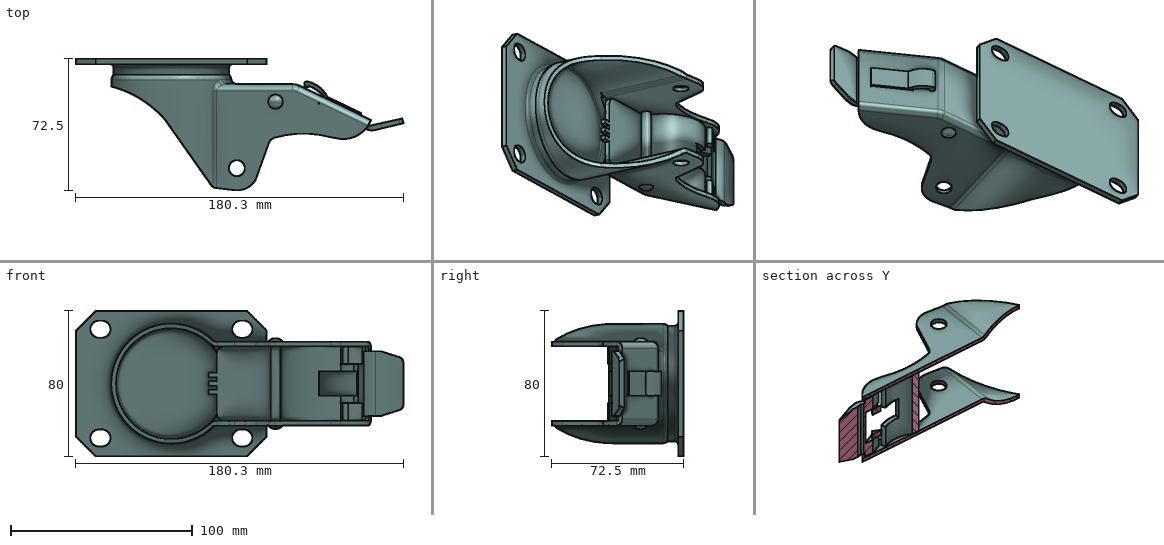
import cadquery as cq
import math


plate_length = 105.0
plate_width = 80.0
plate_thickness = 3.0
plate_corner = 10.8
slot_length = 11.0
slot_width = 9.2
slot_pitch_x = 78.0
slot_pitch_z = 59.9
neck_radius = 32.0
neck_end = -8.8
neck_fillet = 1.8

sheet = 2.5
crown_radius = 33.0
crown_shoulder = 2.7
crown_shoulder_mid = (32.6, -10.0)
crown_inner_radius = crown_radius - sheet
crown_floor = neck_end - sheet
crown_inner_fillet = 0.9
arm_half_width = 23.0
arm_inner_half_width = arm_half_width - sheet
web_top = -13.9
web_bend_x = 68.7
web_slope = math.radians(25.7)
web_bend_radius = 9.0
web_end_x = 110.0
web_edge_radius = 3.6
throat_fillet = 3.0
throat_inner_fillet = throat_fillet + sheet
fork_bottom = -72.5

overrun = 9.0
blank_bottom = fork_bottom - overrun

pick = 0.2

axle_x = 36.0
axle_radius = 4.3
hub_radius = 12.3
axle_y = fork_bottom + hub_radius

pin_x = 57.3
pin_y = -23.6
pin_radius = 2.7
pin_head_radius = 4.0
pin_head_height = 2.0

leaf_thickness = 2.7
leaf_half_width = arm_inner_half_width
leaf_top = -17.9
leaf_start_x = 24.9
leaf_corner = 4.3
tooth_length = 4.3
tooth_width = 2.3
tooth_pitch = 4.7
tooth_count = 3
shoe_x = 83.3
shoe_y = -18.0
shoe_radius = 23.3
shoe_end_angle = math.radians(-65)
shoe_window_x = 81.3

pedal_thickness = 2.7
pedal_end_x = 127.8
pedal_half_width = 17.9
pedal_tip_half_width = 13.9
pedal_taper_x = 115.4
pedal_corner = 3.6
ear_outer_z = 20.2
ear_inner_z = 10.8
ear_end_x = 105.1
tail_start_x = 106.0

latch_half_width = 6.7
latch_proud = 1.0
latch_depth = 5.4
latch_rail_width = 4.0
latch_rail_depth = 6.0
latch_start_x = 83.0
latch_end_x = 104.0
curl_x = 74.6
curl_y = -14.0
curl_radius = 1.6
latch_arm = 2.2


def web_height(x):
    """Y of the outer face of the sloping web at a given X."""
    return web_top - (x - web_bend_x) * math.tan(web_slope)


def below_slope(point, distance):
    """Move a point inwards, square to the sloping web."""
    x, y = point
    return (x - distance * math.sin(web_slope), y - distance * math.cos(web_slope))


def thicken(profile, half_width):
    """Extrude a closed XY outline equally to both sides of Z = 0."""
    return profile.close().extrude(half_width, both=True)


def make_plate():
    slots = (
        cq.Workplane("XZ")
        .rect(slot_pitch_x, slot_pitch_z, forConstruction=True)
        .vertices()
        .slot2D(slot_length, slot_width)
        .extrude(plate_thickness)
    )
    plate = (
        cq.Workplane("XZ")
        .rect(plate_length, plate_width)
        .extrude(plate_thickness)
        .edges("|Y")
        .chamfer(plate_corner)
        .cut(slots)
    )
    neck = cq.Workplane("XZ").circle(neck_radius).extrude(-neck_end)
    root_reach = neck_radius + pick
    root = cq.selectors.BoxSelector(
        (-root_reach, -plate_thickness - pick, -root_reach),
        (root_reach, -plate_thickness + pick, root_reach),
        boundingbox=True,
    )
    return plate.union(neck).edges(root).fillet(neck_fillet)


def channel(inset):
    """Bent block whose top follows the web, set in by a distance from the outer skin."""
    top = web_top - inset
    bend_x = web_bend_x - inset * math.tan(web_slope / 2)
    bend_radius = web_bend_radius - inset
    tangent = bend_radius * math.tan(web_slope / 2)
    far_x = web_end_x + overrun
    far_y = top - (far_x - bend_x) * math.tan(web_slope)
    profile = (
        cq.Workplane("XY")
        .moveTo(0, top)
        .lineTo(bend_x - tangent, top)
        .tangentArcPoint(
            (bend_x + tangent * math.cos(web_slope), top - tangent * math.sin(web_slope)),
            relative=False,
        )
        .lineTo(far_x, far_y)
        .lineTo(far_x, blank_bottom)
        .lineTo(0, blank_bottom)
    )
    block = thicken(profile, arm_half_width - inset)
    return block.faces(">Y").edges("|X").fillet(web_edge_radius - inset)


def crown_blank():
    """Solid drum of the crown and skirt, with its rounded shoulder."""
    return (
        cq.Workplane("XY")
        .moveTo(0, neck_end)
        .lineTo(neck_radius, neck_end)
        .threePointArc(crown_shoulder_mid, (crown_radius, neck_end - crown_shoulder))
        .lineTo(crown_radius, blank_bottom)
        .lineTo(0, blank_bottom)
        .close()
        .revolve(360, (0, 0), (0, 1))
    )


def throat_edges(radius, half_width):
    """Upright edges where the round skirt meets the straight arms."""
    x = math.sqrt(radius**2 - half_width**2)
    return cq.selectors.BoxSelector(
        (x - pick, blank_bottom - pick, -half_width - pick),
        (x + pick, web_top - web_edge_radius, half_width + pick),
    )


def throat_void():
    """Round opening that flares smoothly into the straight one, below the web bends."""
    top = web_top - web_edge_radius
    depth = top - blank_bottom
    drum = cq.Workplane("XZ", origin=(0, top, 0)).circle(crown_inner_radius).extrude(depth)
    straight = (
        cq.Workplane("XZ", origin=(axle_x / 2, top, 0))
        .rect(axle_x, 2 * arm_inner_half_width)
        .extrude(depth)
    )
    corners = throat_edges(crown_inner_radius, arm_inner_half_width)
    return drum.union(straight).edges(corners).fillet(throat_inner_fillet)


def side_outline():
    """Side shape of the fork: skirt sweep, axle lobe and brake arm."""
    lobe_in = math.radians(-97)
    lobe_out = math.radians(-33)
    lobe_mid = (lobe_in + lobe_out) / 2

    def lobe(angle):
        return (axle_x + hub_radius * math.cos(angle), axle_y + hub_radius * math.sin(angle))

    skirt_rim = (-crown_radius, -15.3)
    skirt_sweep_mid = (-16.0, -22.7)
    skirt_sweep_end = (-3.6, -33.4)
    skirt_tip = (21.8, -69.5)
    skirt_tip_mid = (23.0, -70.7)
    skirt_tip_end = (25.0, -71.2)
    crook_start = (53.5, -46.9)
    crook_mid = (54.8, -44.7)
    crook_end = (57.0, -43.5)
    arch_top = (74.5, -41.3)
    arch_end = (87.8, -43.3)
    nose_start = (92.9, -44.2)
    nose_mid = (101.9, -42.5)
    nose_end = (108.2, -37.0)
    clear_x = -crown_radius - overrun
    profile = (
        cq.Workplane("XY")
        .moveTo(clear_x, 0)
        .lineTo(clear_x, skirt_rim[1])
        .lineTo(*skirt_rim)
        .threePointArc(skirt_sweep_mid, skirt_sweep_end)
        .lineTo(*skirt_tip)
        .threePointArc(skirt_tip_mid, skirt_tip_end)
        .lineTo(*lobe(lobe_in))
        .threePointArc(lobe(lobe_mid), lobe(lobe_out))
        .lineTo(*crook_start)
        .threePointArc(crook_mid, crook_end)
        .threePointArc(arch_top, arch_end)
        .lineTo(*nose_start)
        .threePointArc(nose_mid, nose_end)
        .lineTo(web_end_x, web_height(web_end_x))
        .lineTo(web_end_x, 0)
    )
    return thicken(profile, crown_radius + overrun)


def make_fork():
    outer = crown_blank().union(channel(0))
    outer = outer.edges(throat_edges(crown_radius, arm_half_width)).fillet(throat_fillet)
    drum = (
        cq.Workplane("XZ", origin=(0, crown_floor, 0))
        .circle(crown_inner_radius)
        .extrude(crown_floor - blank_bottom)
        .faces(">Y")
        .edges()
        .fillet(crown_inner_fillet)
    )
    inner = drum.union(channel(sheet)).union(throat_void())
    axle_hole = (
        cq.Workplane("XY").center(axle_x, axle_y).circle(axle_radius).extrude(crown_radius, both=True)
    )
    pin_hole = (
        cq.Workplane("XY").center(pin_x, pin_y).circle(pin_radius).extrude(crown_radius, both=True)
    )
    fork = outer.intersect(side_outline()).cut(inner)
    return fork.cut(axle_hole).cut(pin_hole).cut(latch_slab())


def make_pin():
    """Rivet with a domed head against the outside of each arm."""
    head_end = arm_half_width + pin_head_height
    sphere_radius = (pin_head_radius**2 + pin_head_height**2) / (2 * pin_head_height)
    half_angle = math.asin(pin_head_radius / sphere_radius) / 2
    dome_x = sphere_radius * math.sin(half_angle)
    dome_z = head_end - sphere_radius * (1 - math.cos(half_angle))
    return (
        cq.Workplane("XZ", origin=(pin_x, pin_y, 0))
        .moveTo(0, -head_end)
        .threePointArc((dome_x, -dome_z), (pin_head_radius, -arm_half_width))
        .lineTo(pin_radius, -arm_half_width)
        .lineTo(pin_radius, arm_half_width)
        .lineTo(pin_head_radius, arm_half_width)
        .threePointArc((dome_x, dome_z), (0, head_end))
        .close()
        .revolve(360, (0, 0), (0, 1))
    )


def make_leaf():
    inner_radius = shoe_radius - leaf_thickness
    leaf_bottom = leaf_top - leaf_thickness

    def shoe_point(radius, angle):
        return (shoe_x + radius * math.cos(angle), shoe_y + radius * math.sin(angle))

    def shoe_left(radius, y):
        return shoe_x - math.sqrt(radius**2 - (y - shoe_y) ** 2)

    shoe_middle = math.radians(-120)
    profile = (
        cq.Workplane("XY")
        .moveTo(leaf_start_x, leaf_top)
        .lineTo(shoe_left(inner_radius, leaf_top), leaf_top)
        .threePointArc(shoe_point(inner_radius, shoe_middle), shoe_point(inner_radius, shoe_end_angle))
        .lineTo(*shoe_point(shoe_radius, shoe_end_angle))
        .threePointArc(
            shoe_point(shoe_radius, shoe_middle), (shoe_left(shoe_radius, leaf_bottom), leaf_bottom)
        )
        .lineTo(leaf_start_x, leaf_bottom)
    )
    leaf = thicken(profile, leaf_half_width).edges("|Y and <X").fillet(leaf_corner)
    window = cq.Workplane("XY").box(
        shoe_radius, shoe_radius, 2 * latch_half_width, centered=(False, False, True)
    )
    leaf = leaf.cut(window.translate((shoe_window_x, shoe_y - shoe_radius, 0)))
    for index in range(tooth_count):
        z = (index - (tooth_count - 1) / 2) * tooth_pitch
        tooth = cq.Workplane("XY").box(
            tooth_length, leaf_thickness, tooth_width, centered=(False, False, True)
        )
        leaf = leaf.union(tooth.translate((leaf_start_x - tooth_length, leaf_bottom, z)))
    return leaf


def make_pedal():
    """Foot plate with two ears that reach in under the sloping web."""
    ear_top_y = -34.6
    ear_bottom_y = -37.1
    ear_nose_top = (95.2, -38.8)
    ear_nose_mid = (94.3, -40.5)
    ear_nose_bottom = (97.4, -41.0)
    joint_x = tail_start_x + 0.7
    joint_top_y = -35.9
    ear_profile = (
        cq.Workplane("XY")
        .moveTo(*ear_nose_top)
        .threePointArc(ear_nose_mid, ear_nose_bottom)
        .lineTo(ear_end_x, ear_bottom_y)
        .lineTo(joint_x, ear_bottom_y)
        .lineTo(joint_x, joint_top_y)
        .lineTo(ear_end_x, ear_top_y)
    )
    gap = cq.Workplane("XY").box(
        tail_start_x, pedal_end_x, 2 * ear_inner_z, centered=(False, True, True)
    )
    ears = thicken(ear_profile, ear_outer_z).cut(gap)
    tail_start_top_y = -35.5
    tail_start_bottom_y = -37.9
    tail_dip_top = (109.3, -36.8)
    tail_dip_mid = (108.7, -39.3)
    tail_dip_end = (112.2, -39.3)
    tip_bottom_y = -35.5
    tip_lean = 0.7
    tail_profile = (
        cq.Workplane("XY")
        .moveTo(tail_start_x, tail_start_top_y)
        .lineTo(*tail_dip_top)
        .lineTo(pedal_end_x - tip_lean, tip_bottom_y + pedal_thickness)
        .lineTo(pedal_end_x, tip_bottom_y)
        .lineTo(*tail_dip_end)
        .threePointArc(tail_dip_mid, (tail_start_x, tail_start_bottom_y))
    )
    plan = (
        cq.Workplane("XZ")
        .moveTo(tail_start_x, -pedal_half_width)
        .lineTo(pedal_taper_x, -pedal_half_width)
        .lineTo(pedal_end_x, -pedal_tip_half_width)
        .lineTo(pedal_end_x, pedal_tip_half_width)
        .lineTo(pedal_taper_x, pedal_half_width)
        .lineTo(tail_start_x, pedal_half_width)
        .close()
        .extrude(-fork_bottom)
        .edges("|Y and >X")
        .fillet(pedal_corner)
    )
    return ears.union(thicken(tail_profile, pedal_half_width).intersect(plan))


def sloping_bar(top_offset, bottom_offset, half_width):
    """Bar along the web slope between two depths measured from the outer face of the web."""
    start = (latch_start_x, web_height(latch_start_x))
    end = (latch_end_x, web_height(latch_end_x))
    profile = (
        cq.Workplane("XY")
        .moveTo(*below_slope(start, top_offset))
        .lineTo(*below_slope(end, top_offset))
        .lineTo(*below_slope(end, bottom_offset))
        .lineTo(*below_slope(start, bottom_offset))
    )
    return thicken(profile, half_width)


def latch_slab():
    """Slab that fills the slot in the web."""
    return sloping_bar(-latch_proud, latch_depth - latch_proud, latch_half_width)


def latch_rails():
    """Two rails under the web, one along each side of the slot."""
    rail_outer = latch_half_width + latch_rail_width
    bar = sloping_bar(sheet, sheet + latch_rail_depth, rail_outer)
    groove = sloping_bar(0, 2 * latch_rail_depth, latch_half_width)
    return bar.cut(groove)


def make_latch():
    """Slab with rails below the web and an arched arm above it that ends in a round curl."""
    arm_root_x = latch_start_x + 0.2
    arm_root_y = web_height(latch_start_x)
    arm_outer_mid = (79.9, -14.5)
    arm_outer_end = (86.2, -21.6)
    arm_inner_start = (arm_root_x, arm_root_y + 0.7)
    arm_inner_mid = (79.2, -16.8)
    curl_top = curl_y + curl_radius
    arm_profile = (
        cq.Workplane("XY")
        .moveTo(curl_x, curl_top)
        .threePointArc(arm_outer_mid, arm_outer_end)
        .lineTo(arm_root_x, arm_root_y)
        .lineTo(*arm_inner_start)
        .threePointArc(arm_inner_mid, (curl_x, curl_top - latch_arm))
    )
    arm = thicken(arm_profile, latch_half_width)
    curl = cq.Workplane("XY").center(curl_x, curl_y).circle(curl_radius)
    curl = curl.extrude(latch_half_width, both=True)
    return latch_slab().union(arm).union(curl).union(latch_rails())


plate = make_plate()
fork = make_fork()
pin = make_pin()
leaf = make_leaf()
pedal = make_pedal()
latch = make_latch()

bodies = [plate, fork, pin, leaf, pedal, latch]
result = cq.Compound.makeCompound([body.solids().val() for body in bodies])